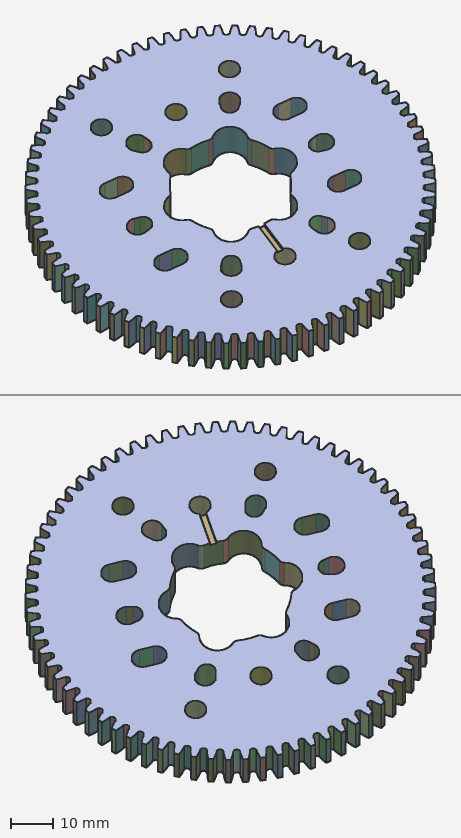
import cadquery as cq
import math

TOOTH_COUNT = 74
OUTER_RADIUS = 48.3
FACE_WIDTH = 9.6
PRESSURE_ANGLE = math.radians(14.5)
MODULE = 2 * OUTER_RADIUS / (TOOTH_COUNT + 2)
PITCH_RADIUS = MODULE * TOOTH_COUNT / 2
BASE_RADIUS = PITCH_RADIUS * math.cos(PRESSURE_ANGLE)
ROOT_CLEARANCE = 0.25 * MODULE
ROOT_RADIUS = PITCH_RADIUS - MODULE - ROOT_CLEARANCE
ROOT_ROUND_DEPTH = 0.5
FOOT_RADIUS = ROOT_RADIUS + ROOT_ROUND_DEPTH
BACKLASH = 0.05
TOOTH_PITCH_ANGLE = 2 * math.pi / TOOTH_COUNT
FIRST_TOOTH_ANGLE = math.pi / 2

BORE_DIAMETER = 28.7
LOBE_COUNT = 6
LOBE_TIP_RADIUS = 17.5
LOBE_RADIUS = 4.2
LOBE_CIRCLE_RADIUS = LOBE_TIP_RADIUS - LOBE_RADIUS
LOBE_FIRST_ANGLE = 30
LOBE_BLEND_RADIUS = 1.5

BOLT_RADIUS = 2.5
INNER_BOLT_CIRCLE_RADIUS = 25.4
OUTER_BOLT_CIRCLE_RADIUS = 34.9
SMALL_BOLT_DIAMETER = 4.3
SMALL_BOLT_RADIUS = SMALL_BOLT_DIAMETER / 2
SMALL_BOLT_CIRCLE_RADIUS = 23.8

SIDE_HOLE_ANGLES = (0, 180)
SLOT_END_ANGLE = 60
SLOT_DIRECTION = 90
CORNER_HOLE_ANGLES = (30, 150, 210, 330)
LOBE_STEP_ANGLE = 360 / LOBE_COUNT
LOBE_ANGLES = [LOBE_FIRST_ANGLE + LOBE_STEP_ANGLE * lobe for lobe in range(LOBE_COUNT)]

GROOVE_WIDTH = 1.5
GROOVE_DEPTH = 0.8


def polar(radius, angle):
    return (radius * math.cos(angle), radius * math.sin(angle))


def polar_degrees(radius, degrees):
    return polar(radius, math.radians(degrees))


def tooth_half_angle(radius):
    """Half the angle an involute tooth spans at the given radius."""
    pressure_here = math.acos(BASE_RADIUS / radius)
    involute_here = math.tan(pressure_here) - pressure_here
    involute_at_pitch = math.tan(PRESSURE_ANGLE) - PRESSURE_ANGLE
    half_angle_at_pitch = TOOTH_PITCH_ANGLE / 4 - BACKLASH / (2 * PITCH_RADIUS)
    return half_angle_at_pitch + involute_at_pitch - involute_here


def gear_blank():
    """Toothed disc: each flank is an arc through three points of the involute, each root a round valley."""
    foot_half_angle = tooth_half_angle(FOOT_RADIUS)
    middle_half_angle = tooth_half_angle(PITCH_RADIUS)
    tip_half_angle = tooth_half_angle(OUTER_RADIUS)
    start_point = polar(FOOT_RADIUS, FIRST_TOOTH_ANGLE - foot_half_angle)
    outline = cq.Workplane("XY").moveTo(*start_point)
    for tooth in range(TOOTH_COUNT):
        center = FIRST_TOOTH_ANGLE + tooth * TOOTH_PITCH_ANGLE
        is_last_tooth = tooth == TOOTH_COUNT - 1
        next_foot = polar(FOOT_RADIUS, center + TOOTH_PITCH_ANGLE - foot_half_angle)
        outline = (
            outline.threePointArc(
                polar(PITCH_RADIUS, center - middle_half_angle),
                polar(OUTER_RADIUS, center - tip_half_angle),
            )
            .threePointArc(
                polar(OUTER_RADIUS, center),
                polar(OUTER_RADIUS, center + tip_half_angle),
            )
            .threePointArc(
                polar(PITCH_RADIUS, center + middle_half_angle),
                polar(FOOT_RADIUS, center + foot_half_angle),
            )
            .threePointArc(
                polar(ROOT_RADIUS, center + TOOTH_PITCH_ANGLE / 2),
                start_point if is_last_tooth else next_foot,
            )
        )
    return outline.close().extrude(FACE_WIDTH)


def lobed_bore():
    """Round bore with six lobes, the junctions blended."""
    lobe_centers = [polar_degrees(LOBE_CIRCLE_RADIUS, angle) for angle in LOBE_ANGLES]
    bore = cq.Workplane("XY").circle(BORE_DIAMETER / 2).extrude(FACE_WIDTH)
    lobes = cq.Workplane("XY").pushPoints(lobe_centers).circle(LOBE_RADIUS).extrude(FACE_WIDTH)
    return bore.union(lobes).edges("|Z").fillet(LOBE_BLEND_RADIUS)


def round_holes():
    """Plain bolt holes: two on the inner circle, four on the outer one."""
    centers = [polar_degrees(INNER_BOLT_CIRCLE_RADIUS, angle) for angle in SIDE_HOLE_ANGLES]
    centers += [polar_degrees(OUTER_BOLT_CIRCLE_RADIUS, angle) for angle in CORNER_HOLE_ANGLES]
    return cq.Workplane("XY").pushPoints(centers).circle(BOLT_RADIUS).extrude(FACE_WIDTH)


def straight_slots():
    """Four slots along Y, from the inner bolt circle out to its full radius in Y."""
    inner_x, inner_y = polar_degrees(INNER_BOLT_CIRCLE_RADIUS, SLOT_END_ANGLE)
    travel = INNER_BOLT_CIRCLE_RADIUS - inner_y
    middle_y = inner_y + travel / 2
    centers = [(side_x * inner_x, side_y * middle_y) for side_x in (-1, 1) for side_y in (-1, 1)]
    return (
        cq.Workplane("XY")
        .pushPoints(centers)
        .slot2D(travel + 2 * BOLT_RADIUS, 2 * BOLT_RADIUS, SLOT_DIRECTION)
        .extrude(FACE_WIDTH)
    )


def tapered_slot(angle):
    """Radial slot tangent to a large outer and a small inner bolt hole."""
    spacing = INNER_BOLT_CIRCLE_RADIUS - SMALL_BOLT_CIRCLE_RADIUS
    tangent_angle = math.acos((BOLT_RADIUS - SMALL_BOLT_RADIUS) / spacing)
    normal_x, normal_y = polar(1, tangent_angle)
    outer = INNER_BOLT_CIRCLE_RADIUS
    inner = SMALL_BOLT_CIRCLE_RADIUS
    outer_tangent = (outer - BOLT_RADIUS * normal_x, BOLT_RADIUS * normal_y)
    inner_tangent = (inner - SMALL_BOLT_RADIUS * normal_x, SMALL_BOLT_RADIUS * normal_y)
    return (
        cq.Workplane("XY")
        .moveTo(*outer_tangent)
        .threePointArc((outer + BOLT_RADIUS, 0), (outer_tangent[0], -outer_tangent[1]))
        .lineTo(inner_tangent[0], -inner_tangent[1])
        .threePointArc((inner - SMALL_BOLT_RADIUS, 0), inner_tangent)
        .close()
        .extrude(FACE_WIDTH)
        .rotate((0, 0, 0), (0, 0, 1), angle)
    )


def alignment_groove():
    """Shallow groove along +X from the bore to the nearest bolt hole."""
    return (
        cq.Workplane("XY", origin=(0, 0, FACE_WIDTH - GROOVE_DEPTH))
        .rect(INNER_BOLT_CIRCLE_RADIUS, GROOVE_WIDTH)
        .extrude(GROOVE_DEPTH)
        .translate((INNER_BOLT_CIRCLE_RADIUS / 2, 0, 0))
    )


result = gear_blank().cut(lobed_bore()).cut(round_holes()).cut(straight_slots())
for lobe_angle in LOBE_ANGLES:
    result = result.cut(tapered_slot(lobe_angle))
result = result.cut(alignment_groove())